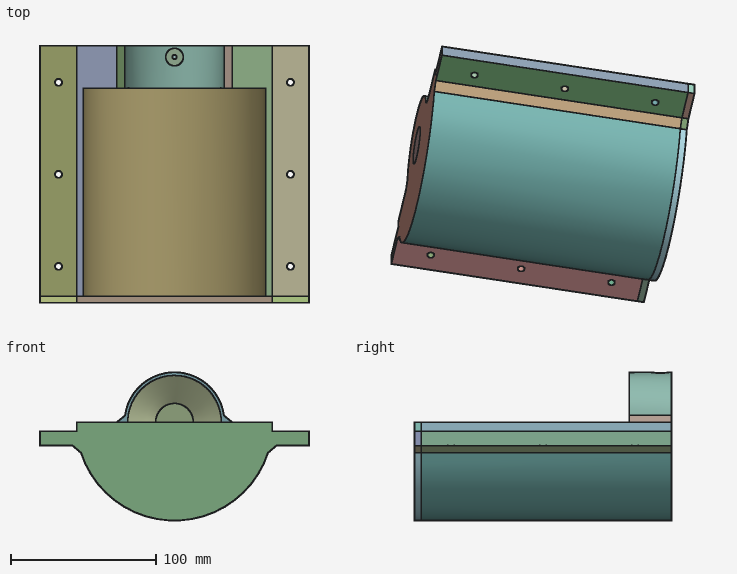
import cadquery as cq
import math

total_width = 185.5
total_length = 177.3
end_plate_thickness = 4.6

shell_radius = 67.9
cavity_radius = 63.0
rim_half_width = 67.5
flange_drop = 6.1
flange_thickness = 10.0
flange_root_half_width = 70.3
shell_corner_depth = 21.1

end_block_length = 29.3
ring_radius = 34.5
ring_foot_half_width = 39.9
ring_foot_height = 4.6
cone_mouth_radius = 32.3
plug_diameter = 26.0
cone_depth = 17.3

access_hole_diameter = 12.0
access_hole_floor = 20.4
access_hole_setback = 7.8
fine_hole_diameter = 3.0

mount_hole_diameter = 4.6
mount_hole_x = 80.0
mount_hole_pitch = 63.5

back_y = total_length / 2
plate_front_y = -back_y
housing_front_y = plate_front_y + end_plate_thickness
block_front_y = back_y - end_block_length
cone_bottom_y = block_front_y + cone_depth
access_hole_y = back_y - access_hole_setback


def cross_section(front_y):
    """XZ workplane at front_y whose positive extrusion runs toward +Y."""
    return cq.Workplane(cq.Plane(origin=(0, front_y, 0), xDir=(1, 0, 0), normal=(0, -1, 0)))


def cylinder_along_y(radius, front_y, rear_y):
    return cross_section(front_y).circle(radius).extrude(front_y - rear_y)


def flanged_profile(front_y, rear_y):
    """Half-round section with stepped side flanges and sloping flange roots."""
    half_width = total_width / 2
    flange_top = -flange_drop
    flange_bottom = flange_top - flange_thickness
    shell_corner_x = math.sqrt(shell_radius**2 - shell_corner_depth**2)
    return (
        cross_section(front_y)
        .moveTo(-rim_half_width, 0)
        .lineTo(rim_half_width, 0)
        .lineTo(rim_half_width, flange_top)
        .lineTo(half_width, flange_top)
        .lineTo(half_width, flange_bottom)
        .lineTo(flange_root_half_width, flange_bottom)
        .lineTo(shell_corner_x, -shell_corner_depth)
        .threePointArc((0, -shell_radius), (-shell_corner_x, -shell_corner_depth))
        .lineTo(-flange_root_half_width, flange_bottom)
        .lineTo(-half_width, flange_bottom)
        .lineTo(-half_width, flange_top)
        .lineTo(-rim_half_width, flange_top)
        .close()
        .extrude(front_y - rear_y)
    )


def raised_ring():
    """Upper half of the ring, with a sloping foot on each side."""
    foot_top_x = math.sqrt(ring_radius**2 - ring_foot_height**2)
    return (
        cross_section(block_front_y)
        .moveTo(-ring_foot_half_width, 0)
        .lineTo(-foot_top_x, ring_foot_height)
        .threePointArc((0, ring_radius), (foot_top_x, ring_foot_height))
        .lineTo(ring_foot_half_width, 0)
        .close()
        .extrude(-end_block_length)
    )


def conical_mouth():
    """Cone that narrows rearward from the block face to the plug bore."""
    return (
        cq.Workplane("XY")
        .moveTo(0, block_front_y)
        .lineTo(cone_mouth_radius, block_front_y)
        .lineTo(plug_diameter / 2, cone_bottom_y)
        .lineTo(0, cone_bottom_y)
        .close()
        .revolve(360, (0, 0, 0), (0, 1, 0))
    )


def vertical_hole(diameter, bottom, top):
    return (
        cq.Workplane("XY", origin=(0, access_hole_y, bottom))
        .circle(diameter / 2)
        .extrude(top - bottom)
    )


def mounting_holes():
    """Through holes in both flanges, centred on the overall length."""
    points = []
    for x in (-mount_hole_x, mount_hole_x):
        for row in (-1, 0, 1):
            points.append((x, row * mount_hole_pitch))
    return (
        cq.Workplane("XY")
        .pushPoints(points)
        .circle(mount_hole_diameter / 2)
        .extrude(-(flange_drop + flange_thickness))
    )


def make_plug():
    """Cylindrical plug closing the bore behind the conical mouth."""
    return cylinder_along_y(plug_diameter / 2, cone_bottom_y, back_y)


def make_housing():
    cavity = cylinder_along_y(cavity_radius, housing_front_y, block_front_y)
    access_hole = vertical_hole(access_hole_diameter, access_hole_floor, ring_radius)
    fine_hole = vertical_hole(fine_hole_diameter, 0, access_hole_floor)
    return (
        flanged_profile(housing_front_y, back_y)
        .cut(cavity)
        .union(raised_ring())
        .cut(conical_mouth())
        .cut(make_plug())
        .cut(access_hole)
        .cut(fine_hole)
        .cut(mounting_holes())
    )


def make_end_plate():
    return flanged_profile(plate_front_y, housing_front_y)


housing = make_housing()
end_plate = make_end_plate()
plug = make_plug()

result = cq.Compound.makeCompound([housing.val(), end_plate.val(), plug.val()])